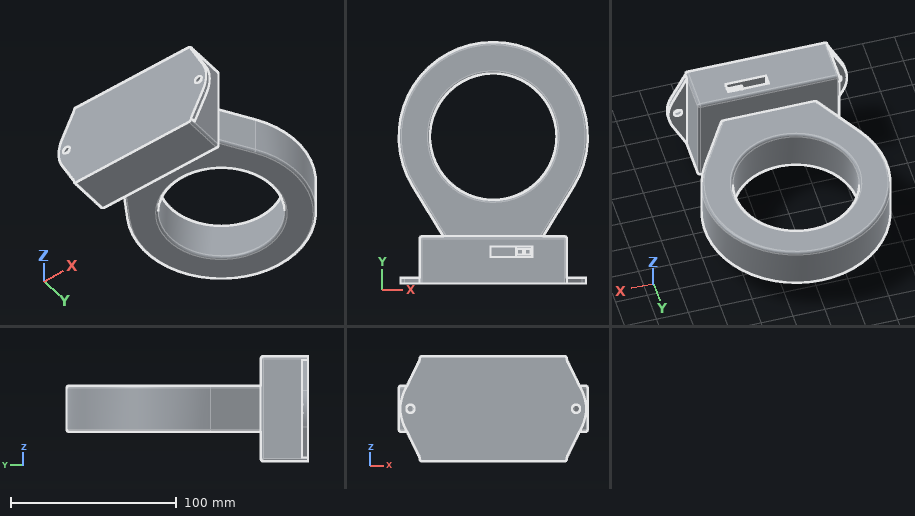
import cadquery as cq
import math


ring_outer_radius = 114.3 / 2
ring_bore_radius = 76.2 / 2
ring_thickness = 27.94
neck_half_width = 30.2
edge_round = 1.5875

mount_face_y = -88.65
box_width = 88.9
box_depth = 28.575
box_height = 63.5
box_back_y = mount_face_y + box_depth

ear_span = 112.0
ear_thickness = 3.6
ear_tip_radius = 25.4
ear_slope = math.radians(26)
ear_hole_diameter = 5.0
ear_hole_spacing = 100.0

slot_left_x = -1.6
slot_length = 25.4
slot_width = 6.35
slot_depth = 12.7
slot_offset = 19.2
slot_center_y = mount_face_y + slot_offset
slot_floor_z = box_height / 2 - slot_depth
slot_right_x = slot_left_x + slot_length

block_length = 9.85
block_end_gap = 0.35
block_top_drop = 4.3
block_height = slot_depth - block_top_drop
block_center_x = slot_right_x - block_end_gap - block_length / 2
block_top_z = box_height / 2 - block_top_drop
contact_size = 3.4
contact_pitch = 4.75
contact_depth = 3.0
contact_xs = [block_center_x + side * contact_pitch / 2 for side in (-1, 1)]


def make_ring():
    """Ring whose straight neck edges run tangent to it, down to the box."""
    corner_distance = math.hypot(neck_half_width, box_back_y)
    corner_angle = math.atan2(box_back_y, neck_half_width)
    tangent_angle = corner_angle + math.acos(ring_outer_radius / corner_distance)
    tangent_x = ring_outer_radius * math.cos(tangent_angle)
    tangent_y = ring_outer_radius * math.sin(tangent_angle)
    return (
        cq.Workplane("XY", origin=(0, 0, -ring_thickness / 2))
        .moveTo(neck_half_width, box_back_y)
        .lineTo(tangent_x, tangent_y)
        .threePointArc((0, ring_outer_radius), (-tangent_x, tangent_y))
        .lineTo(-neck_half_width, box_back_y)
        .close()
        .extrude(ring_thickness)
        .cut(cq.Workplane("XY").circle(ring_bore_radius).extrude(ring_thickness, both=True))
        .faces("|Z").edges("not(<Y)").fillet(edge_round)
    )


def make_box():
    """Box with every edge rounded except those of the mounting face."""
    return (
        cq.Workplane("XY")
        .box(box_width, box_depth, box_height)
        .translate((0, mount_face_y + box_depth / 2, 0))
        .edges("|Y or >Y").fillet(edge_round)
    )


def make_ears():
    """Plate flush with the mounting face, ending in a rounded ear on each side."""
    tip_x = ear_span / 2
    arc_end_x = tip_x - ear_tip_radius * (1 - math.cos(ear_slope))
    arc_end_z = ear_tip_radius * math.sin(ear_slope)
    root_x = box_width / 2
    root_z = arc_end_z + (arc_end_x - root_x) / math.tan(ear_slope)
    return (
        cq.Workplane("XZ", origin=(0, mount_face_y + ear_thickness, 0))
        .moveTo(root_x, -root_z)
        .lineTo(arc_end_x, -arc_end_z)
        .threePointArc((tip_x, 0), (arc_end_x, arc_end_z))
        .lineTo(root_x, root_z)
        .lineTo(-root_x, root_z)
        .lineTo(-arc_end_x, arc_end_z)
        .threePointArc((-tip_x, 0), (-arc_end_x, -arc_end_z))
        .lineTo(-root_x, -root_z)
        .close()
        .pushPoints([(-ear_hole_spacing / 2, 0), (ear_hole_spacing / 2, 0)])
        .circle(ear_hole_diameter / 2)
        .extrude(ear_thickness)
    )


def make_housing():
    """Ring, box and ears as one body, with the terminal slot cut into the box."""
    slot = (
        cq.Workplane("XY", origin=(slot_left_x + slot_length / 2, slot_center_y, slot_floor_z))
        .rect(slot_length, slot_width)
        .extrude(slot_depth)
    )
    return make_ring().union(make_box()).union(make_ears()).cut(slot)


def make_contact(center_x):
    """Square contact set flush into the top of the terminal block."""
    return (
        cq.Workplane("XY", origin=(center_x, slot_center_y, block_top_z - contact_depth))
        .rect(contact_size, contact_size)
        .extrude(contact_depth)
    )


def make_terminal_block(contacts):
    """Block standing on the slot floor, with a pocket for each contact."""
    block = (
        cq.Workplane("XY", origin=(block_center_x, slot_center_y, slot_floor_z))
        .rect(block_length, slot_width)
        .extrude(block_height)
    )
    for contact in contacts:
        block = block.cut(contact)
    return block


contacts = [make_contact(x) for x in contact_xs]
terminal_block = make_terminal_block(contacts)
housing = make_housing()

result = cq.Compound.makeCompound(
    [housing.val(), terminal_block.val(), *[contact.val() for contact in contacts]]
)